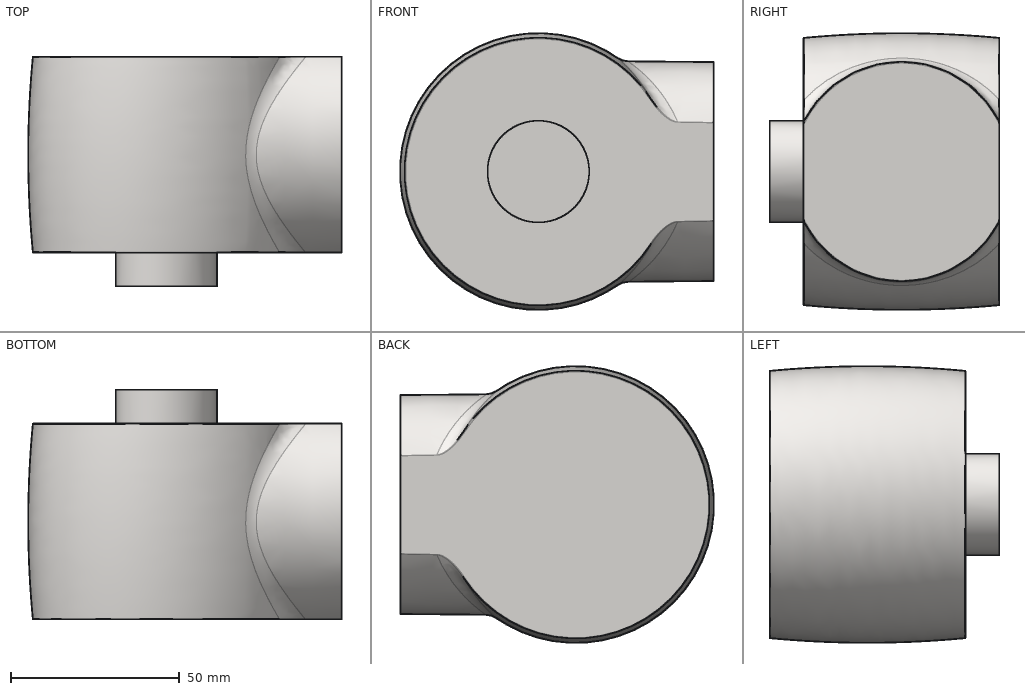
import math

import cadquery as cq

total_length = 92.9
body_depth = 58.0
barrel_radius = 41.0
barrel_end_radius = 39.6
neck_end_radius = 32.4
neck_taper = 0.5
blend_radius = 5.6
rim_radius = 0.3
stub_radius = 15.05
stub_length = 10.0

half_depth = body_depth / 2
neck_end = total_length - barrel_radius
neck_root_radius = neck_end_radius + neck_end * math.tan(math.radians(neck_taper))


def make_barrel():
    """Bulged drum about the Y axis, widest at mid depth."""
    return (
        cq.Workplane("XY")
        .moveTo(0, -half_depth)
        .lineTo(barrel_end_radius, -half_depth)
        .threePointArc((barrel_radius, 0), (barrel_end_radius, half_depth))
        .lineTo(0, half_depth)
        .close()
        .revolve(360, (0, 0, 0), (0, 1, 0))
    )


def make_neck():
    """Tapered round neck along +X, rounded at its end and cut flush with the drum faces."""
    neck = cq.Workplane("YZ").circle(neck_root_radius).extrude(neck_end, taper=neck_taper)
    neck = neck.faces(">X").edges().fillet(rim_radius)
    slab = cq.Workplane("XY").box(2 * total_length, body_depth, 2 * total_length)
    return neck.intersect(slab)


def blend_junction(body):
    """Fillet the two curved edges where the neck leaves the drum."""
    junction = cq.selectors.BoxSelector(
        (0, -half_depth / 2, -barrel_radius),
        (barrel_radius, half_depth / 2, barrel_radius),
    )
    return body.edges(junction).fillet(blend_radius)


def round_rims(body):
    """Round the drum's two circular rims and the edges that run on tangent to them."""
    drum_side = cq.selectors.BoxSelector(
        (-barrel_radius, -body_depth, -barrel_radius),
        (0, body_depth, barrel_radius),
    )
    return body.faces("<Y or >Y").edges(drum_side).fillet(rim_radius)


def make_stub():
    """Plain round stub on the -Y face."""
    return (
        cq.Workplane("XZ", origin=(0, -half_depth, 0))
        .circle(stub_radius)
        .extrude(stub_length)
    )


body = make_barrel().union(make_neck())
body = blend_junction(body)
body = round_rims(body)
result = body.union(make_stub())